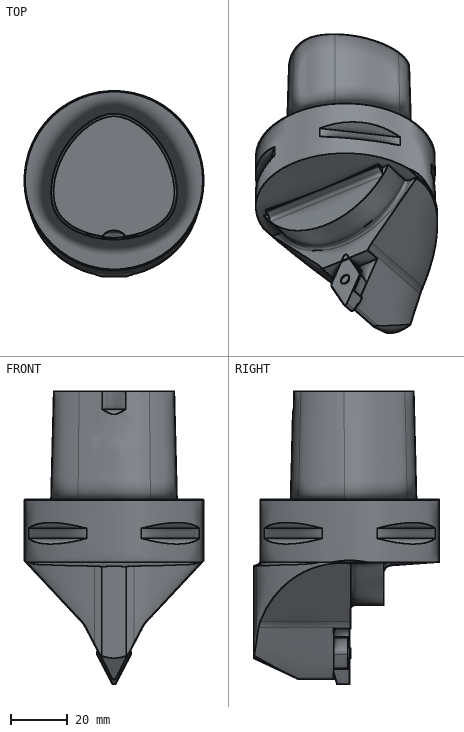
import cadquery as cq
import math


shank_height = 38.0
shank_mean_diameter = 44.3
lobe_height = 1.3
shank_taper = 1 / 40
lobe_half_angle = 35
points_per_stretch = 7

notch_radius = 4.9
notch_depth = 6.3
notch_center_y = -22.5
notch_point_height = 3.6

flange_radius = 31.5
flange_height = 22.0
flange_chamfer = 0.3
underside_drop = 2.3

groove_z = -11.9
groove_floor_distance = 28.0
groove_floor_height = 3.5
groove_flank_angle = 30
groove_angles = (45, 135, 225, 315)

face_y = 0.3
back_y = -33.8
head_radius = 30.6
head_center_y = -3.1
back_flat_half_width = 4.2
back_facet_half_width = 7.0
shoulder_slope = 0.5
shoulder_fillet_radius = 1.1
shoulder_fillet_fall = 0.9
side_top = (31.5, -21.4)
point_angle = 55
head_apex_z = -64.2
side_bend_z = -43.8
side_bend_radius = 9.3
head_nose_radius = 0.8
seat_y = -5.7
seat_roof_z = -45.4
relief_start_y = -18.0
relief_angle = 25.2
relief_radius = 13.4

boss_front_y = 11.9
boss_bottom_z = -37.3
boss_radius = 30.9
boss_overlap = 0.5
boss_root_radius = 2.63
boss_wall_fillet = 1.4

lowest_z = -65.0
insert_half_length = 11.9
insert_nose_radius = 0.8
insert_side_radius = 1.0
insert_clearance = 6
rake_land = 0.7
side_recess_half_length = 5.8
side_recess_depth = 0.9
side_recess_clearance = 20
tip_cut_depth = 1.0
tip_cut_back_z = 7.0
tip_cut_front_z = 10.4
stud_diameter = 3.5
stud_height = 0.3

half_point = math.radians(point_angle / 2)


def box_between(low, high):
    size = [b - a for a, b in zip(low, high)]
    return cq.Workplane("XY").box(*size, centered=False).translate(low)


def polygon_point(normal_angle, mean_radius):
    """Point of the three-lobed outline, one lobe at +Y, where the normal has this angle."""
    turn = 3 * math.radians(normal_angle - 90)
    angle = math.radians(normal_angle)
    reach = mean_radius + lobe_height * math.cos(turn)
    slide = -3 * lobe_height * math.sin(turn)
    return (
        reach * math.cos(angle) - slide * math.sin(angle),
        reach * math.sin(angle) + slide * math.cos(angle),
    )


def polygon_wire(z):
    """Six smooth stretches: three lobes and the three flatter sides between them."""
    mean_radius = shank_mean_diameter / 2 - shank_taper * z
    edges = []
    for lobe in (90, 210, 330):
        joints = (lobe - lobe_half_angle, lobe + lobe_half_angle, lobe + 120 - lobe_half_angle)
        for start, end in zip(joints, joints[1:]):
            step = (end - start) / (points_per_stretch - 1)
            angles = [start + step * i for i in range(points_per_stretch)]
            points = [cq.Vector(*polygon_point(a, mean_radius), z) for a in angles]
            tangents = [
                cq.Vector(-math.sin(math.radians(a)), math.cos(math.radians(a)), 0)
                for a in (start, end)
            ]
            edges.append(cq.Edge.makeSpline(points, tangents=tangents))
    return cq.Wire.assembleEdges(edges)


def make_shank():
    shank = cq.Workplane(cq.Solid.makeLoft([polygon_wire(0), polygon_wire(shank_height)], True))
    notch_floor = shank_height - notch_depth
    notch = (
        cq.Workplane("XZ")
        .moveTo(0, shank_height)
        .lineTo(notch_radius, shank_height)
        .lineTo(notch_radius, notch_floor)
        .lineTo(0, notch_floor - notch_point_height)
        .close()
        .revolve(360, (0, 0, 0), (0, 1, 0))
        .translate((0, notch_center_y, 0))
    )
    return shank.cut(notch)


def make_groove(angle):
    """Straight groove with a flat floor and flaring flanks, cut square to one direction."""
    depth = flange_radius - groove_floor_distance
    floor_half = groove_floor_height / 2
    mouth_half = floor_half + depth * math.tan(math.radians(groove_flank_angle))
    return (
        cq.Workplane("XZ")
        .polyline([
            (groove_floor_distance, -floor_half),
            (flange_radius, -mouth_half),
            (flange_radius, mouth_half),
            (groove_floor_distance, floor_half),
        ])
        .close()
        .extrude(flange_radius, both=True)
        .translate((0, 0, groove_z))
        .rotate((0, 0, 0), (0, 0, 1), angle)
    )


def make_flange():
    flange = (
        cq.Workplane("XZ")
        .polyline([
            (0, 0),
            (flange_radius - flange_chamfer, 0),
            (flange_radius, -flange_chamfer),
            (flange_radius, -flange_height),
            (0, -flange_height - underside_drop),
        ])
        .close()
        .revolve(360, (0, 0, 0), (0, 1, 0))
    )
    for angle in groove_angles:
        flange = flange.cut(make_groove(angle))
    return flange


def side_outline():
    """Front outline of flange and head: sloping sides that bend into the rounded point."""
    bend_x = (side_bend_z - head_apex_z) * math.tan(half_point)
    top_x, top_z = side_top
    slope = (top_z - side_bend_z) / (top_x - bend_x)
    wide_x = 2 * flange_radius
    wide_z = top_z + slope * (wide_x - top_x)
    outline = (
        cq.Workplane("XZ")
        .polyline([
            (-wide_x, wide_z),
            (-bend_x, side_bend_z),
            (0, head_apex_z),
            (bend_x, side_bend_z),
            (wide_x, wide_z),
        ])
        .close()
        .extrude(2 * flange_radius, both=True)
    )
    bends = cq.selectors.BoxSelector(
        (-bend_x - 1, -1, side_bend_z - 1), (bend_x + 1, 1, side_bend_z + 1)
    )
    outline = outline.edges(bends).fillet(side_bend_radius)
    return outline.edges("<Z").fillet(head_nose_radius)


def make_relief():
    """Material to remove under the point: below a large cylinder that rises to the back."""
    reach = 2 * flange_radius
    below = box_between((-reach, -reach, -reach), (reach, 0, relief_radius))
    rounding = cq.Workplane("XZ").circle(relief_radius).extrude(2 * reach, both=True)
    rounding = rounding.translate((0, 0, relief_radius))
    nose_z = head_apex_z + head_nose_radius / math.sin(half_point) - head_nose_radius
    return (
        below.cut(rounding)
        .rotate((0, 0, 0), (1, 0, 0), -relief_angle)
        .translate((0, relief_start_y, nose_z))
    )


def make_head():
    facet_y = head_center_y - math.sqrt(head_radius**2 - back_facet_half_width**2)
    side_y = face_y - head_center_y
    side_x = math.sqrt(head_radius**2 - side_y**2)
    diagonal = head_radius * math.sqrt(0.5)
    plan = (
        cq.Workplane("XY")
        .moveTo(side_x, face_y)
        .lineTo(-side_x, face_y)
        .threePointArc((-diagonal, head_center_y - diagonal), (-back_facet_half_width, facet_y))
        .lineTo(-back_flat_half_width, back_y)
        .lineTo(back_flat_half_width, back_y)
        .lineTo(back_facet_half_width, facet_y)
        .threePointArc((diagonal, head_center_y - diagonal), (side_x, face_y))
        .close()
        .extrude(head_apex_z)
    )
    shoulder_start = flange_radius + shoulder_fillet_radius
    shoulder_start_z = -flange_height - shoulder_fillet_fall
    shoulder_reach = 2 * flange_radius
    shoulder = (
        cq.Workplane("XZ")
        .moveTo(0, head_apex_z)
        .lineTo(0, -flange_height)
        .lineTo(flange_radius, -flange_height)
        .radiusArc((shoulder_start, shoulder_start_z), -shoulder_fillet_radius)
        .lineTo(shoulder_reach, shoulder_start_z - shoulder_slope * (shoulder_reach - shoulder_start))
        .lineTo(shoulder_reach, head_apex_z)
        .close()
        .revolve(360, (0, 0, 0), (0, 1, 0))
    )
    seat = box_between(
        (-flange_radius, seat_y, head_apex_z), (flange_radius, flange_radius, seat_roof_z)
    )
    return plan.intersect(shoulder).cut(seat).cut(make_relief())


def make_boss():
    """Round-bottomed boss in front of the wall, rounded into the wall and into the flange."""
    axis_z = boss_bottom_z + boss_radius
    top_z = boss_overlap - flange_height
    flare_y = face_y + boss_wall_fillet
    flare_radius = boss_radius + boss_wall_fillet
    boss = (
        cq.Workplane("XY")
        .lineTo(flare_radius, 0)
        .lineTo(flare_radius, face_y)
        .radiusArc((boss_radius, flare_y), boss_wall_fillet)
        .lineTo(boss_radius, boss_front_y)
        .lineTo(0, boss_front_y)
        .close()
        .revolve(360, (0, 0, 0), (0, 1, 0))
        .translate((0, 0, axis_z))
    )
    root_y = boss_front_y + boss_root_radius
    root_z = -flange_height - underside_drop * (1 - root_y / flange_radius)
    root_half_width = math.sqrt(boss_radius**2 - (axis_z - root_z + boss_root_radius) ** 2)
    root = (
        cq.Workplane("YZ")
        .moveTo(0, top_z)
        .lineTo(root_y, top_z)
        .lineTo(root_y, root_z)
        .radiusArc((boss_front_y, root_z - boss_root_radius), -boss_root_radius)
        .lineTo(0, root_z - boss_root_radius)
        .close()
        .extrude(root_half_width, both=True)
    )
    below_flange = box_between(
        (-flange_radius, 0, head_apex_z), (flange_radius, flange_radius, top_z)
    )
    return boss.union(root).intersect(below_flange)


def make_holder():
    lower = make_flange().union(make_head()).union(make_boss()).intersect(side_outline())
    return lower.union(make_shank())


def rhombic_plate(inset, start_y, clearance):
    """Plate from start_y back to the seat, its outline inset and its sides sloping inwards."""
    half_length = insert_half_length - inset / math.sin(half_point)
    half_width = half_length * math.tan(half_point)
    thickness = start_y - seat_y
    sharp = (
        cq.Workplane("XZ")
        .polyline([(0, half_length), (half_width, 0), (0, -half_length), (-half_width, 0)])
        .close()
        .extrude(thickness)
    )
    rounded = sharp.edges("|Y and (>Z or <Z)").fillet(insert_nose_radius)
    rounded = rounded.edges("|Y and (>X or <X)").fillet(insert_side_radius)
    plate = rounded.faces(">Y").wires().toPending().workplane().extrude(-thickness, taper=clearance)
    return plate.translate((0, start_y, 0))


def make_side_recess():
    """Band around the two wide corners where the sides lie deeper behind the rake face."""
    reach = insert_half_length
    slope = math.tan(half_point)
    side_x = (insert_half_length - side_recess_half_length) * slope
    inner_z = side_recess_half_length - side_x * slope
    outer_z = side_recess_half_length + (reach - side_x) * slope
    band = (
        cq.Workplane("XZ")
        .polyline([
            (0, inner_z), (reach, outer_z), (reach, -outer_z),
            (0, -inner_z), (-reach, -outer_z), (-reach, outer_z),
        ])
        .close()
        .extrude(-seat_y - rake_land)
        .translate((0, -rake_land, 0))
    )
    return band.cut(rhombic_plate(side_recess_depth, -rake_land, side_recess_clearance))


def make_tip_cut():
    """Wedge that takes the back edge off one tip."""
    beyond = 2 * insert_half_length
    slope = (tip_cut_front_z - tip_cut_back_z) / tip_cut_depth
    front_y = seat_y + tip_cut_depth
    return (
        cq.Workplane("YZ")
        .polyline([
            (seat_y, tip_cut_back_z),
            (front_y, tip_cut_front_z),
            (front_y + (beyond - tip_cut_front_z) / slope, beyond),
            (seat_y, beyond),
        ])
        .close()
        .extrude(insert_half_length, both=True)
    )


def make_insert():
    """Rhombic insert with its rake face on Y = 0 and a low stud in the middle of it."""
    insert = rhombic_plate(0, 0, insert_clearance).cut(make_side_recess())
    tip_cut = make_tip_cut()
    insert = insert.cut(tip_cut).cut(tip_cut.mirror("XY"))
    stud = cq.Workplane("XZ").circle(stud_diameter / 2).extrude(-stud_height)
    nose_gap = insert_nose_radius / math.sin(half_point) - insert_nose_radius
    center_z = lowest_z + insert_half_length - nose_gap
    return insert.union(stud).translate((0, 0, center_z))


insert = make_insert()
holder = make_holder().cut(insert)

result = cq.Compound.makeCompound([holder.val(), insert.val()])